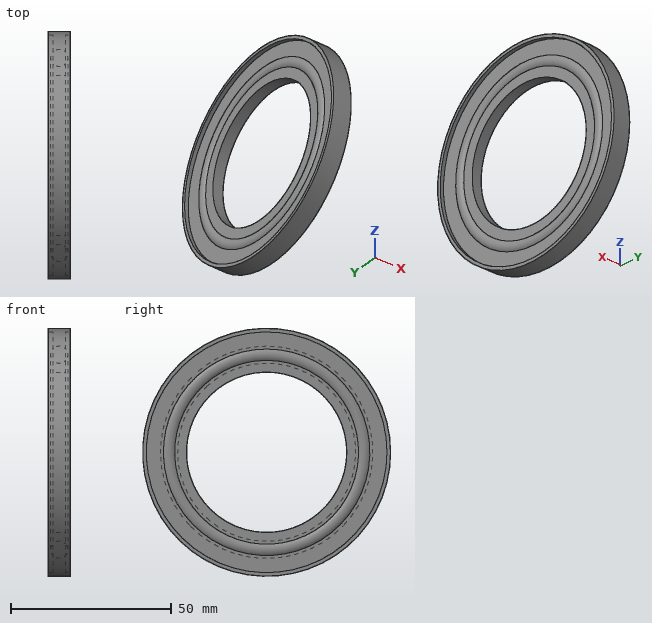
import cadquery as cq
import math

rim_diameter = 77.5
rim_inner_diameter = 75.2
seal_window_outer_diameter = 64.5
seal_window_inner_diameter = 57.4
bore_diameter = 50.0
rim_width = 7.0
web_width = 4.0

seal_window_width = (seal_window_outer_diameter - seal_window_inner_diameter) / 2
seal_center_radius = (seal_window_outer_diameter + seal_window_inner_diameter) / 4
seal_section_radius = math.hypot(seal_window_width / 2, web_width / 2)


def make_ring(outer_diameter, inner_diameter, width):
    """Plain ring around the X axis, centred on X = 0."""
    return (
        cq.Workplane("YZ", origin=(-width / 2, 0, 0))
        .circle(outer_diameter / 2)
        .circle(inner_diameter / 2)
        .extrude(width)
    )


def make_seal():
    """O-ring of round section around the X axis."""
    return cq.Workplane(
        cq.Solid.makeTorus(
            seal_center_radius, seal_section_radius, cq.Vector(0, 0, 0), cq.Vector(1, 0, 0)
        )
    )


def make_outer_ring():
    """Web with a wider rim, its inner edge hollowed to hold the seal."""
    blank = make_ring(rim_diameter, seal_window_outer_diameter, rim_width)
    recess_depth = (rim_width - web_width) / 2
    recess_offset = (web_width + recess_depth) / 2
    for side in (-1, 1):
        recess = cq.Workplane("YZ").circle(rim_inner_diameter / 2).extrude(recess_depth)
        blank = blank.cut(recess.translate((side * recess_offset - recess_depth / 2, 0, 0)))
    return blank.cut(make_seal())


def make_inner_ring():
    """Flat ring, its outer edge hollowed to hold the seal."""
    return make_ring(seal_window_inner_diameter, bore_diameter, web_width).cut(make_seal())


outer_ring = make_outer_ring()
inner_ring = make_inner_ring()
seal = make_seal()

result = cq.Compound.makeCompound([outer_ring.val(), inner_ring.val(), seal.val()])